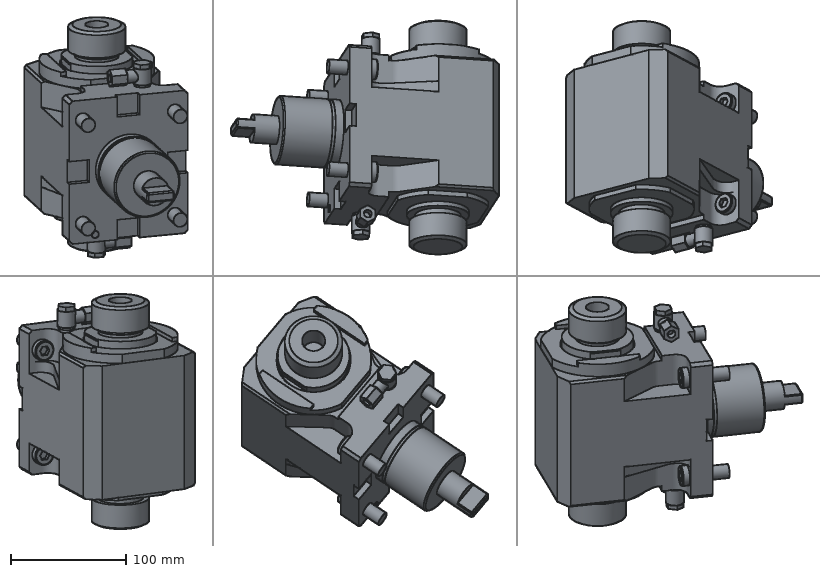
import cadquery as cq
import math


HALF_WIDTH = 54.0
BODY_LEFT = -45.9
BODY_HALF_HEIGHT = 60.2
BLOCK_LEFT = 50.0
BLOCK_HALF_HEIGHT = 65.0
MOUNT_FACE = 89.7
CORNER_Y = 14.5
CORNER_X = CORNER_Y * math.tan(math.radians(30))
BODY_CHAMFER = 2.0
PLATE_CHAMFER = 3.0

PLATE_BACK = 70.0
POCKET_START = 10.5
POCKET_FLOOR = 36.3
POCKET_END_RADIUS = 10.0
DEEP_CORNER_X = 43.4
DEEP_WALL_Y = 30.9
RELIEF_CORNER_X = 55.0
RELIEF_WALL_Y = 37.7
RELIEF_FLOOR = 26.5
BEND_RADIUS = 10.0

SCREW_Y = 42.0
SCREW_Z = 47.0
SCREW_RADIUS = 6.25
SCREW_END = 106.2
HEAD_RADIUS = 8.97
HEAD_BACK = 63.5
HEAD_EDGE = 1.0
SOCKET_ACROSS_CORNERS = 9.0
SOCKET_DEPTH = 4.0

KEY_WIDTH = 20.5
KEY_DEPTH = 5.7
KEY_LENGTH = 18.2

SHANK_RADIUS = 30.0
SHANK_END = 143.0
SHANK_CHAMFER = 1.4
GROOVE_START = 97.0
GROOVE_END = 99.7
GROOVE_DEPTH = 0.7
SHAFT_RADIUS = 12.5
SHAFT_END = 164.8
TANG_END = 181.1
TANG_THICKNESS = 8.9
TANG_CHAMFER = 1.4

SEAL_RADIUS = 3.2
SEAL_Y = -30.5
SEAL_Z = -58.0
SEAL_HEIGHT = 0.7

FLANGE_RADIUS = 50.0
FLANGE_TOP = 68.3
FLANGE_HALF_X = 45.6
SEGMENT_TOP = 72.0
SEGMENT_HALF_LENGTH = 27.7
SEGMENT_INNER_Y = 36.8
COLLAR_RADIUS = 31.0
COLLAR_TOP = 74.7
COLLAR_HALF_FLATS = 28.0
COLLAR_LIP_BASE = 73.0
COLLAR_LIP_HALF_FLATS = 28.8
CLEARANCE_RADIUS = 32.2
CLEARANCE_DEPTH = 2.3

LOWER_FLANGE_RADIUS = 45.6
LOWER_FLANGE_HALF_X = 40.2
LOWER_FLANGE_HALF_Y = 42.2
LOWER_FLANGE_BOTTOM = -64.5
LOWER_COLLAR_RADIUS = 27.0
LOWER_COLLAR_BOTTOM = -68.3

NUT_RADIUS = 25.0
NUT_FACE_RADIUS = 21.0
NUT_CHAMFER_HEIGHT = 2.0
NECK_RADIUS = 20.0
NECK_GROOVE_RADIUS = 19.3
NECK_GROOVE_TOP = 77.5
UPPER_NUT_BASE = 80.5
UPPER_NUT_TOP = 103.3
LOWER_NUT_BASE = -74.2
LOWER_NUT_BOTTOM = -97.0
BORE_RADIUS = 10.0
BORE_DEPTH = 22.7

FITTING_X = 64.0
FITTING_Y = 20.9
FITTING_FOOT_RADIUS = 7.0
FITTING_FOOT_TOP = 67.0
FITTING_RADIUS = 8.0
FITTING_SHOULDER = 81.5
FITTING_TOP = 85.5
FITTING_ACROSS_CORNERS = 16.0
ARM_Z = 74.0
ARM_RADIUS = 5.7
ARM_NUT_START = 5.5
ARM_NUT_END = -8.9
ARM_ACROSS_CORNERS = 15.5
ARM_BORE_RADIUS = 3.5
ARM_BORE_DEPTH = 6.8


def half_turn(shape):
    """Copy of a shape turned half a turn about the drive axis."""
    return shape.rotate((0, 0, 0), (1, 0, 0), 180)


def block(x_range, y_range, z_range):
    """Box spanning the given coordinate ranges."""
    (x0, x1), (y0, y1), (z0, z1) = x_range, y_range, z_range
    return cq.Workplane("XY").box(x1 - x0, y1 - y0, z1 - z0, centered=False).translate((x0, y0, z0))


def post(radius, z_low, z_high):
    """Cylinder on the spindle axis."""
    return cq.Workplane("XY").workplane(offset=z_low).circle(radius).extrude(z_high - z_low)


def rod(radius, x_start, x_end):
    """Cylinder on the drive axis."""
    return cq.Workplane("YZ").workplane(offset=x_start).circle(radius).extrude(x_end - x_start)


def bevelled_bar(x_range, half_height, chamfer):
    """Full-width bar along X with its four long edges chamfered."""
    bar = block(x_range, (-HALF_WIDTH, HALF_WIDTH), (-half_height, half_height))
    return bar.edges("|X").chamfer(chamfer)


def make_housing():
    body = bevelled_bar((BODY_LEFT, BLOCK_LEFT), BODY_HALF_HEIGHT, BODY_CHAMFER)
    for side in (1, -1):
        corner = (
            cq.Workplane("XY")
            .workplane(offset=-BODY_HALF_HEIGHT)
            .moveTo(BODY_LEFT, side * HALF_WIDTH)
            .lineTo(BODY_LEFT + CORNER_X, side * HALF_WIDTH)
            .lineTo(BODY_LEFT, side * (HALF_WIDTH - CORNER_Y))
            .close()
            .extrude(2 * BODY_HALF_HEIGHT)
        )
        body = body.cut(corner)
    return body.union(bevelled_bar((BLOCK_LEFT, MOUNT_FACE), BLOCK_HALF_HEIGHT, PLATE_CHAMFER))


def make_pocket(corner_x, wall_y, floor_z):
    """Upper +Y pocket: slanted wall, straight wall, then a round up to the screw flange."""
    height = BLOCK_HALF_HEIGHT - floor_z
    pocket = (
        cq.Workplane("XY")
        .workplane(offset=floor_z)
        .moveTo(POCKET_START, HALF_WIDTH)
        .lineTo(corner_x, wall_y)
        .lineTo(PLATE_BACK, wall_y)
        .lineTo(PLATE_BACK, HALF_WIDTH)
        .close()
        .extrude(height)
    )
    pocket = pocket.edges(cq.selectors.NearestToPointSelector((corner_x, wall_y, floor_z + height / 2)))
    pocket = pocket.fillet(BEND_RADIUS)
    end_edge = cq.selectors.NearestToPointSelector((PLATE_BACK, wall_y, floor_z + height / 2))
    return pocket.edges(end_edge).fillet(POCKET_END_RADIUS)


def cut_pockets(housing):
    deep = make_pocket(DEEP_CORNER_X, DEEP_WALL_Y, POCKET_FLOOR)
    relief = make_pocket(RELIEF_CORNER_X, RELIEF_WALL_Y, RELIEF_FLOOR)
    for pocket in (deep, deep.mirror("XZ"), relief):
        housing = housing.cut(pocket).cut(half_turn(pocket))
    return housing


def cut_key_slots(housing):
    depth_range = (MOUNT_FACE - KEY_DEPTH, MOUNT_FACE)
    across = (-KEY_WIDTH / 2, KEY_WIDTH / 2)
    side_slot = block(depth_range, (HALF_WIDTH - KEY_LENGTH, HALF_WIDTH), across)
    top_slot = block(depth_range, across, (BLOCK_HALF_HEIGHT - KEY_LENGTH, BLOCK_HALF_HEIGHT))
    for slot in (side_slot, top_slot):
        housing = housing.cut(slot).cut(half_turn(slot))
    return housing


def make_screw():
    head = rod(HEAD_RADIUS, HEAD_BACK, PLATE_BACK).faces("<X").chamfer(HEAD_EDGE)
    socket = (
        cq.Workplane("YZ")
        .workplane(offset=HEAD_BACK)
        .polygon(6, SOCKET_ACROSS_CORNERS)
        .extrude(SOCKET_DEPTH)
    )
    return head.cut(socket).union(rod(SCREW_RADIUS, PLATE_BACK, SCREW_END))


def make_drive():
    shank = rod(SHANK_RADIUS, MOUNT_FACE, SHANK_END).faces(">X").chamfer(SHANK_CHAMFER)
    groove = rod(SHANK_RADIUS, GROOVE_START, GROOVE_END)
    groove = groove.cut(rod(SHANK_RADIUS - GROOVE_DEPTH, GROOVE_START, GROOVE_END))
    tang_blank = block(
        (SHAFT_END, TANG_END),
        (-SHAFT_RADIUS, SHAFT_RADIUS),
        (-TANG_THICKNESS / 2, TANG_THICKNESS / 2),
    )
    tang_blank = tang_blank.edges("|X").chamfer(TANG_CHAMFER).faces(">X").chamfer(TANG_CHAMFER)
    tang = rod(SHAFT_RADIUS, SHAFT_END, TANG_END).intersect(tang_blank)
    return shank.cut(groove).union(rod(SHAFT_RADIUS, SHANK_END, SHAFT_END)).union(tang)


def trimmed_disc(radius, half_x, half_y, z_low, z_high):
    """Disc on the spindle axis with flats at the given half widths."""
    return post(radius, z_low, z_high).intersect(block((-half_x, half_x), (-half_y, half_y), (z_low, z_high)))


def make_nut(base, face):
    """Spindle nut between its base and its chamfered outer face."""
    shoulder = face - math.copysign(NUT_CHAMFER_HEIGHT, face)
    return (
        cq.Workplane("XZ")
        .moveTo(0, base)
        .lineTo(NUT_RADIUS, base)
        .lineTo(NUT_RADIUS, shoulder)
        .lineTo(NUT_FACE_RADIUS, face)
        .lineTo(0, face)
        .close()
        .revolve(360, (0, 0, 0), (0, 1, 0))
    )


def make_upper_spindle():
    flange = trimmed_disc(FLANGE_RADIUS, FLANGE_HALF_X, FLANGE_RADIUS, BODY_HALF_HEIGHT, FLANGE_TOP)
    segments = trimmed_disc(FLANGE_RADIUS, SEGMENT_HALF_LENGTH, FLANGE_RADIUS, FLANGE_TOP, SEGMENT_TOP)
    gap = block(
        (-SEGMENT_HALF_LENGTH, SEGMENT_HALF_LENGTH),
        (-SEGMENT_INNER_Y, SEGMENT_INNER_Y),
        (FLANGE_TOP, SEGMENT_TOP),
    )
    recess_floor = FLANGE_TOP - CLEARANCE_DEPTH
    recess = post(CLEARANCE_RADIUS, recess_floor, FLANGE_TOP)
    collar = trimmed_disc(COLLAR_RADIUS, COLLAR_RADIUS, COLLAR_HALF_FLATS, recess_floor, COLLAR_TOP)
    lip = trimmed_disc(COLLAR_RADIUS, COLLAR_RADIUS, COLLAR_LIP_HALF_FLATS, COLLAR_LIP_BASE, COLLAR_TOP)
    spindle = flange.cut(recess).union(segments.cut(gap)).union(collar).union(lip)
    spindle = spindle.union(post(NECK_GROOVE_RADIUS, COLLAR_TOP, NECK_GROOVE_TOP))
    spindle = spindle.union(post(NECK_RADIUS, NECK_GROOVE_TOP, UPPER_NUT_BASE))
    spindle = spindle.union(make_nut(UPPER_NUT_BASE, UPPER_NUT_TOP))
    return spindle.cut(post(BORE_RADIUS, UPPER_NUT_TOP - BORE_DEPTH, UPPER_NUT_TOP))


def make_lower_spindle():
    flange = trimmed_disc(
        LOWER_FLANGE_RADIUS,
        LOWER_FLANGE_HALF_X,
        LOWER_FLANGE_HALF_Y,
        LOWER_FLANGE_BOTTOM,
        -BODY_HALF_HEIGHT,
    )
    spindle = flange.union(post(LOWER_COLLAR_RADIUS, LOWER_COLLAR_BOTTOM, LOWER_FLANGE_BOTTOM))
    spindle = spindle.union(post(NECK_RADIUS, LOWER_NUT_BASE, LOWER_COLLAR_BOTTOM))
    return spindle.union(make_nut(LOWER_NUT_BASE, LOWER_NUT_BOTTOM))


def y_plane(y):
    """Workplane facing -Y at the arm axis of the elbow fitting."""
    return cq.Workplane("XZ", origin=(FITTING_X, y, ARM_Z))


def make_fitting():
    """Elbow fitting on the top of the block, its arm pointing to -Y."""
    base = post(FITTING_FOOT_RADIUS, BLOCK_HALF_HEIGHT, FITTING_FOOT_TOP)
    base = base.union(post(FITTING_RADIUS, FITTING_FOOT_TOP, FITTING_SHOULDER))
    cap = (
        cq.Workplane("XY")
        .workplane(offset=FITTING_SHOULDER)
        .polygon(6, FITTING_ACROSS_CORNERS)
        .extrude(FITTING_TOP - FITTING_SHOULDER)
        .rotate((0, 0, 0), (0, 0, 1), 90)
    )
    arm = y_plane(FITTING_Y).circle(ARM_RADIUS).extrude(FITTING_Y - ARM_NUT_START)
    arm_axis = ((FITTING_X, 0, ARM_Z), (FITTING_X, 1, ARM_Z))
    arm_nut = y_plane(ARM_NUT_START).polygon(6, ARM_ACROSS_CORNERS).extrude(ARM_NUT_START - ARM_NUT_END)
    arm_nut = arm_nut.rotate(*arm_axis, 90)
    arm_bore = y_plane(ARM_NUT_END + ARM_BORE_DEPTH).circle(ARM_BORE_RADIUS).extrude(ARM_BORE_DEPTH)
    fitting = base.union(cap).translate((FITTING_X, FITTING_Y, 0))
    return fitting.union(arm).union(arm_nut).cut(arm_bore)


housing = cut_key_slots(cut_pockets(make_housing()))
result = housing.union(make_drive()).union(make_upper_spindle()).union(make_lower_spindle())

for screw_y in (SCREW_Y, -SCREW_Y):
    for screw_z in (SCREW_Z, -SCREW_Z):
        result = result.union(make_screw().translate((0, screw_y, screw_z)))

seal = rod(SEAL_RADIUS, MOUNT_FACE, MOUNT_FACE + SEAL_HEIGHT)
result = result.union(seal.translate((0, SEAL_Y, SEAL_Z)))

elbow = make_fitting()
result = result.union(elbow).union(half_turn(elbow))